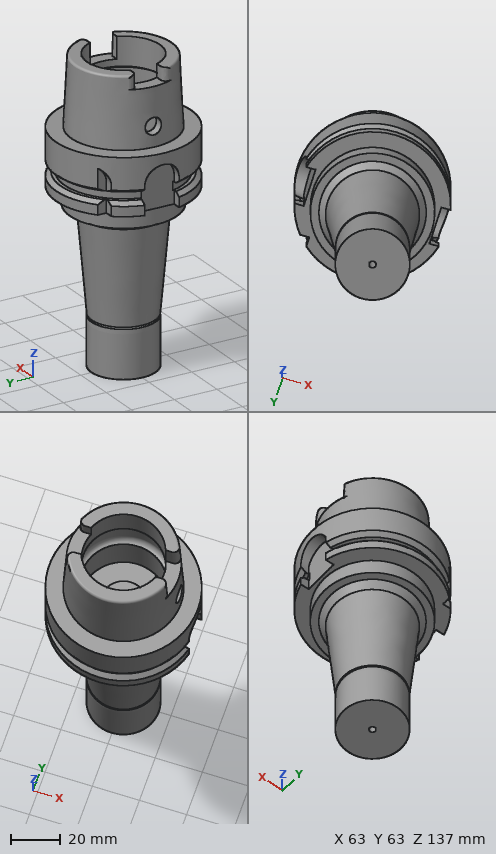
import cadquery as cq
import math


SHANK_HEIGHT = 32.0
TAPER_GAUGE_RADIUS = 24.0
TAPER_GAUGE_HEIGHT = 6.3
TAPER_RATIO = 9.98
SHANK_BASE_RADIUS = TAPER_GAUGE_RADIUS + TAPER_GAUGE_HEIGHT / (2 * TAPER_RATIO)
SHANK_TOP_RADIUS = SHANK_BASE_RADIUS - SHANK_HEIGHT / (2 * TAPER_RATIO)
SHANK_TOP_FILLET = 1.1

BORE_RADIUS = 17.0
CLAMP_RADIUS = 20.0
CLAMP_SHOULDER_Z = 18.8
CLAMP_SHOULDER_ANGLE = 60.0
CLAMP_CONE_HEIGHT = (CLAMP_RADIUS - BORE_RADIUS) / math.tan(math.radians(CLAMP_SHOULDER_ANGLE))
CLAMP_ROUND_TOP_Z = 6.0
CLAMP_ROUND_RADIUS = 2.5
LOWER_BORE_RADIUS = CLAMP_RADIUS - CLAMP_ROUND_RADIUS
BORE_FLOOR_Z = -13.0
MID_WALL_RADIUS = (BORE_RADIUS + SHANK_TOP_RADIUS) / 2

RIM_SLOT_WIDTH = 12.5
RIM_SLOT_CORNER_FILLET = 2.4
RIM_SLOT_DEPTHS = {-1: 6.0, 1: 10.0}
CROSS_HOLE_DIAMETER = 7.5
CROSS_HOLE_Z = 9.0

FLANGE_RADIUS = 31.5
FLANGE_BOTTOM_Z = -26.0
GROOVE_CENTRE_Z = -18.0
GROOVE_FLOOR_RADIUS = 27.5
GROOVE_FLOOR_HALF_WIDTH = 1.9
GROOVE_MOUTH_HALF_WIDTH = 3.5
GROOVE_CONE_RADIUS = 29.2

KEY_SLOT_WIDTH = 16.0
KEY_SLOT_FLOOR_X = 26.5
KEY_SLOT_TOP_Z = -5.0
CORNER_NOTCH_FLOOR_X = -20.4
CORNER_NOTCH_WALL_Y = 20.0
CORNER_NOTCH_WIDTH = 16.0
CORNER_NOTCH_TOP_Z = -4.5

COLLAR_RADIUS = 25.0
COLLAR_BOTTOM_Z = -34.0
COLLAR_CONE_TOP_RADIUS = 21.6
COLLAR_CONE_BOTTOM_Z = -37.2
NECK_TOP_RADIUS = 18.9
NECK_BOTTOM_RADIUS = 14.9
NECK_BOTTOM_Z = -82.0
SPIGOT_RADIUS = 11.25

NUT_RADIUS = 15.0
NUT_TOP_RADIUS = 14.9
NUT_TOP_Z = -82.9
NUT_CONE_BOTTOM_Z = -85.0
NUT_BOTTOM_Z = -105.0

PLUG_RADIUS = 9.0
PLUG_LENGTH = 10.0
PLUG_RECESS_RADIUS = 4.0
PLUG_RECESS_FLOOR_RADIUS = 3.2
PLUG_RECESS_DEPTH = 2.0
COOLANT_RADIUS = 1.4


def turned(points):
    """Solid of revolution about Z from (radius, height) points."""
    return cq.Workplane("XZ").polyline(points).close().revolve(360, (0, 0, 0), (0, 1, 0))


def rod(radius, bottom_z, top_z):
    """Upright cylinder on the Z axis."""
    return cq.Workplane("XY").workplane(offset=bottom_z).circle(radius).extrude(top_z - bottom_z)


def rim_slot(side, depth):
    """Radial slot across the shank rim on one X side."""
    slot = cq.Workplane("XY").box(
        SHANK_BASE_RADIUS, RIM_SLOT_WIDTH, depth, centered=(True, True, False)
    )
    return slot.translate((side * SHANK_BASE_RADIUS, 0, SHANK_HEIGHT - depth))


def rim_slot_corners(side, depth):
    """Selector for the two upright edges where a rim slot breaks out of the taper."""
    mid_depth_z = SHANK_HEIGHT - depth / 2
    return cq.selectors.BoxSelector(
        (side * MID_WALL_RADIUS, -RIM_SLOT_WIDTH, mid_depth_z - depth / 4),
        (side * SHANK_BASE_RADIUS, RIM_SLOT_WIDTH, mid_depth_z + depth / 4),
    )


def shank():
    """Hollow-taper shank with two driving slots whose outer corners are rounded."""
    cone = turned([
        (0, 0),
        (SHANK_BASE_RADIUS, 0),
        (SHANK_TOP_RADIUS, SHANK_HEIGHT),
        (0, SHANK_HEIGHT),
    ])
    round_rimmed_cone = cone.faces(">Z").edges().fillet(SHANK_TOP_FILLET)
    slotted = cone.cut(rod(BORE_RADIUS, 0, SHANK_HEIGHT))
    for side, depth in RIM_SLOT_DEPTHS.items():
        slotted = slotted.cut(rim_slot(side, depth))
        slotted = slotted.edges(rim_slot_corners(side, depth)).fillet(RIM_SLOT_CORNER_FILLET)
    return slotted.intersect(round_rimmed_cone)


def flange_and_neck():
    """Turned outline from the flange face down to the spigot that carries the nut."""
    groove_top = GROOVE_CENTRE_Z + GROOVE_FLOOR_HALF_WIDTH
    groove_bottom = GROOVE_CENTRE_Z - GROOVE_FLOOR_HALF_WIDTH
    return turned([
        (0, 0),
        (FLANGE_RADIUS, 0),
        (FLANGE_RADIUS, GROOVE_CENTRE_Z + GROOVE_MOUTH_HALF_WIDTH),
        (GROOVE_CONE_RADIUS, groove_top),
        (GROOVE_FLOOR_RADIUS, groove_top),
        (GROOVE_FLOOR_RADIUS, groove_bottom),
        (GROOVE_CONE_RADIUS, groove_bottom),
        (FLANGE_RADIUS, GROOVE_CENTRE_Z - GROOVE_MOUTH_HALF_WIDTH),
        (FLANGE_RADIUS, FLANGE_BOTTOM_Z),
        (COLLAR_RADIUS, FLANGE_BOTTOM_Z),
        (COLLAR_RADIUS, COLLAR_BOTTOM_Z),
        (COLLAR_CONE_TOP_RADIUS, COLLAR_BOTTOM_Z),
        (NECK_TOP_RADIUS, COLLAR_CONE_BOTTOM_Z),
        (NECK_BOTTOM_RADIUS, NECK_BOTTOM_Z),
        (SPIGOT_RADIUS, NECK_BOTTOM_Z),
        (SPIGOT_RADIUS, NUT_TOP_Z),
        (0, NUT_TOP_Z),
    ])


def shank_bore():
    """Clamping bore: straight mouth, wider clamping chamber with a rounded bottom, and lower bore."""
    round_end_z = CLAMP_ROUND_TOP_Z - CLAMP_ROUND_RADIUS
    profile = (
        cq.Workplane("XZ")
        .moveTo(0, BORE_FLOOR_Z)
        .lineTo(LOWER_BORE_RADIUS, BORE_FLOOR_Z)
        .lineTo(LOWER_BORE_RADIUS, round_end_z)
        .radiusArc((CLAMP_RADIUS, CLAMP_ROUND_TOP_Z), -CLAMP_ROUND_RADIUS)
        .lineTo(CLAMP_RADIUS, CLAMP_SHOULDER_Z - CLAMP_CONE_HEIGHT)
        .lineTo(BORE_RADIUS, CLAMP_SHOULDER_Z)
        .lineTo(BORE_RADIUS, SHANK_HEIGHT)
        .lineTo(0, SHANK_HEIGHT)
        .close()
    )
    return profile.revolve(360, (0, 0, 0), (0, 1, 0))


def arched_pocket(width, centre_y, top_z, start_x, end_x):
    """Round-topped pocket, open at the flange bottom, running along X between two X positions."""
    radius = width / 2
    spring_z = top_z - radius
    outline = (
        cq.Workplane("YZ", origin=(start_x, 0, 0))
        .moveTo(centre_y - radius, FLANGE_BOTTOM_Z)
        .lineTo(centre_y - radius, spring_z)
        .threePointArc((centre_y, top_z), (centre_y + radius, spring_z))
        .lineTo(centre_y + radius, FLANGE_BOTTOM_Z)
        .close()
    )
    return outline.extrude(end_x - start_x)


def make_holder():
    """Tool holder: shank, flange and neck in one piece, with all its cuts."""
    body = shank().union(flange_and_neck()).cut(shank_bore())
    cross_hole = (
        cq.Workplane("YZ")
        .center(0, CROSS_HOLE_Z)
        .circle(CROSS_HOLE_DIAMETER / 2)
        .extrude(FLANGE_RADIUS, both=True)
    )
    body = body.cut(cross_hole)
    for side in (-1, 1):
        body = body.cut(arched_pocket(
            KEY_SLOT_WIDTH, 0, KEY_SLOT_TOP_Z, side * KEY_SLOT_FLOOR_X, side * FLANGE_RADIUS
        ))
    body = body.cut(arched_pocket(
        CORNER_NOTCH_WIDTH,
        CORNER_NOTCH_WALL_Y + CORNER_NOTCH_WIDTH / 2,
        CORNER_NOTCH_TOP_Z,
        CORNER_NOTCH_FLOOR_X,
        -FLANGE_RADIUS,
    ))
    body = body.cut(rod(PLUG_RADIUS, BORE_FLOOR_Z - PLUG_LENGTH, BORE_FLOOR_Z))
    return body.cut(rod(COOLANT_RADIUS, NUT_TOP_Z, BORE_FLOOR_Z))


def make_plug():
    """Coolant plug set flush in the bore floor, with a tapered recess and a through passage."""
    bottom_z = BORE_FLOOR_Z - PLUG_LENGTH
    recess_floor_z = BORE_FLOOR_Z - PLUG_RECESS_DEPTH
    return turned([
        (COOLANT_RADIUS, bottom_z),
        (PLUG_RADIUS, bottom_z),
        (PLUG_RADIUS, BORE_FLOOR_Z),
        (PLUG_RECESS_RADIUS, BORE_FLOOR_Z),
        (PLUG_RECESS_FLOOR_RADIUS, recess_floor_z),
        (COOLANT_RADIUS, recess_floor_z),
    ])


def make_nut():
    """Clamping nut under the spigot, slightly tapered at its upper end."""
    return turned([
        (COOLANT_RADIUS, NUT_BOTTOM_Z),
        (NUT_RADIUS, NUT_BOTTOM_Z),
        (NUT_RADIUS, NUT_CONE_BOTTOM_Z),
        (NUT_TOP_RADIUS, NUT_TOP_Z),
        (COOLANT_RADIUS, NUT_TOP_Z),
    ])


holder = make_holder()
plug = make_plug()
nut = make_nut()

result = cq.Compound.makeCompound([holder.solids().val(), plug.val(), nut.val()])